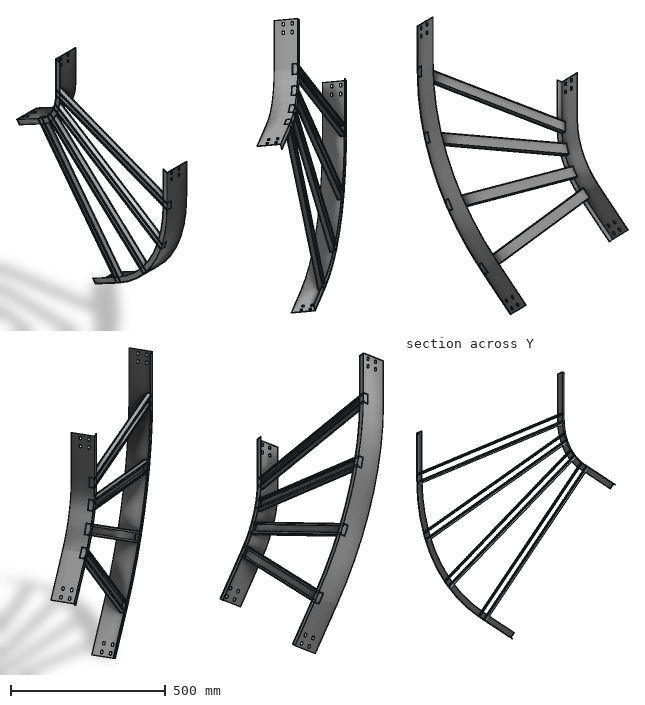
import cadquery as cq
import math

bend_angle = 45.0
inner_radius = 300.0
rail_spacing = 600.0
outer_radius = inner_radius + rail_spacing
overall_height = 932.0
turn = math.radians(bend_angle)
leg_length = (overall_height - outer_radius * math.sin(turn)) / (1 + math.cos(turn))
sheet = 2.0
rail_depth = 80.0
flange_width = 20.5

rung_count = 4
rung_width = 38.0
rung_depth = 18.0
rung_lip = 7.0
rung_end_gap = sheet / 4

slot_length = 12.0
slot_width = 7.0
slot_pitch = 30.0
slot_rows = 2
slot_columns = 2
slot_end_distance = 15.0
slot_edge_distance = 20.0


def turned(body, angle):
    """Turn a body about the bend axis, from the upper leg towards the lower leg."""
    return body.rotate((0, 0, 0), (0, 1, 0), angle)


def band(radius, width, depth):
    """Strip following leg, bend and leg; width grows away from the bend axis, depth along +Y."""
    far = radius + width

    def at(distance, angle, run=0.0):
        a = math.radians(angle)
        return (
            distance * math.cos(a) - run * math.sin(a),
            -distance * math.sin(a) - run * math.cos(a),
        )

    half = bend_angle / 2
    return (
        cq.Workplane("XZ")
        .moveTo(radius, leg_length)
        .lineTo(radius, 0)
        .threePointArc(at(radius, half), at(radius, bend_angle))
        .lineTo(*at(radius, bend_angle, leg_length))
        .lineTo(*at(far, bend_angle, leg_length))
        .lineTo(*at(far, bend_angle))
        .threePointArc(at(far, half), at(far, 0))
        .lineTo(far, leg_length)
        .close()
        .extrude(-depth)
    )


def inner_rail():
    web = band(inner_radius, sheet, rail_depth)
    return web.union(band(inner_radius, flange_width, sheet))


def outer_rail():
    web = band(outer_radius - sheet, sheet, rail_depth)
    return web.union(band(outer_radius - flange_width, flange_width, sheet))


def rung(angle):
    """C channel resting on the flanges, open towards -Y, its ends let into the two webs."""
    front = sheet
    back = sheet + rung_depth
    side = rung_width / 2
    lip_edge = side - rung_lip
    upper_half = [
        (front, lip_edge),
        (front, side),
        (back, side),
        (back, 0),
        (back - sheet, 0),
        (back - sheet, side - sheet),
        (front + sheet, side - sheet),
        (front + sheet, lip_edge),
    ]
    half_channel = (
        cq.Workplane("YZ", origin=(inner_radius + rung_end_gap, 0, 0))
        .polyline(upper_half)
        .close()
        .extrude(rail_spacing - 2 * rung_end_gap)
    )
    return turned(half_channel.union(half_channel.mirror("XY")), angle)


def end_slots():
    """Cutters for the grid of slots at the upper leg, crossing both rails."""
    centres = [
        (slot_edge_distance + row * slot_pitch, leg_length - slot_end_distance - column * slot_pitch)
        for row in range(slot_rows)
        for column in range(slot_columns)
    ]
    return (
        cq.Workplane("YZ", origin=(inner_radius - sheet, 0, 0))
        .pushPoints(centres)
        .slot2D(slot_length, slot_width, 90)
        .extrude(rail_spacing + 2 * sheet)
    )


result = inner_rail().union(outer_rail())
for i in range(rung_count):
    result = result.union(rung(i * bend_angle / (rung_count - 1)))

upper_slots = end_slots()
lower_slots = turned(upper_slots.mirror("XY"), bend_angle)
result = result.cut(upper_slots).cut(lower_slots)